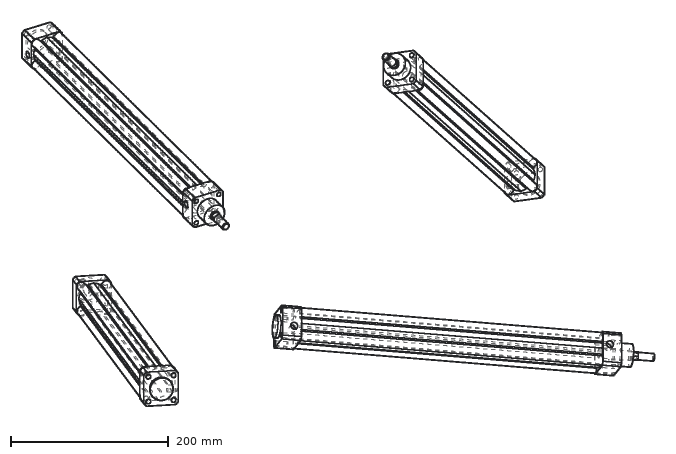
import cadquery as cq
import math

OVERALL_LENGTH = 496.0

CAP_WIDTH = 45.0
CAP_CORNER_RADIUS = 29.5
REAR_CAP_LENGTH = 25.0
FRONT_CAP_LENGTH = 24.5
BOSS_RADIUS = 15.0
REAR_BOSS_LENGTH = 4.0
FRONT_BOSS_LENGTH = 18.0

SCREW_SPACING = 32.5
SCREW_HOLE_RADIUS = 3.0
SCREW_HOLE_DEPTH = 16.0

PORT_RADIUS = 4.5
PORT_DEPTH = 12.0
PORT_FROM_OUTER_FACE = 15.5
PORT_AXIS_OFFSET = 5.0

LOBE_RADIUS = 5.5
VALLEY_HEIGHT = 17.5
VALLEY_HALF_WIDTH = 7.5
RIDGE_HALF_WIDTH = 4.0
RIDGE_SLOPE = 13
SHOULDER_SLOPE = 21
SHOULDER_BULGE = 0.075

ROD_RADIUS = 6.0
NECK_RADIUS = 5.5
NECK_LENGTH = 6.0
NECK_CHAMFER_LENGTH = 1.0
FLATS_WIDTH = 10.0
THREAD_RADIUS = 5.0
THREAD_LENGTH = 20.5
THREAD_CHAMFER = 1.0
SHOULDER_LENGTH = 1.5
ROD_BEYOND_BOSS = 1.5

BARREL_START = REAR_BOSS_LENGTH + REAR_CAP_LENGTH
THREAD_START = OVERALL_LENGTH - THREAD_LENGTH
NECK_END = THREAD_START - SHOULDER_LENGTH
NECK_START = NECK_END - NECK_LENGTH
ROD_FULL_END = NECK_START - NECK_CHAMFER_LENGTH
FRONT_BOSS_END = ROD_FULL_END - ROD_BEYOND_BOSS
FRONT_CAP_END = FRONT_BOSS_END - FRONT_BOSS_LENGTH
BARREL_END = FRONT_CAP_END - FRONT_CAP_LENGTH

LOBE_CENTRE = SCREW_SPACING / 2


def section(x):
    """Workplane across the cylinder at X = x, with local axes Y and Z."""
    return cq.Workplane("YZ", origin=(x, 0, 0))


def screw_holes(start, length):
    return (
        section(start)
        .rect(SCREW_SPACING, SCREW_SPACING, forConstruction=True)
        .vertices()
        .circle(SCREW_HOLE_RADIUS)
        .extrude(length)
    )


def port(x, z):
    face_y = -CAP_WIDTH / 2
    return cq.Workplane("XZ", origin=(x, face_y, z)).circle(PORT_RADIUS).extrude(-PORT_DEPTH)


def cap_block(start, length):
    square = section(start).rect(CAP_WIDTH, CAP_WIDTH).extrude(length)
    turned = section(start).circle(CAP_CORNER_RADIUS).extrude(length)
    return square.intersect(turned)


def make_rear_cap():
    boss = section(0).circle(BOSS_RADIUS).extrude(REAR_BOSS_LENGTH)
    return (
        cap_block(REAR_BOSS_LENGTH, REAR_CAP_LENGTH)
        .union(boss)
        .cut(screw_holes(REAR_BOSS_LENGTH, SCREW_HOLE_DEPTH))
        .cut(port(REAR_BOSS_LENGTH + PORT_FROM_OUTER_FACE, -PORT_AXIS_OFFSET))
    )


def make_front_cap():
    boss = section(FRONT_CAP_END).circle(BOSS_RADIUS).extrude(FRONT_BOSS_LENGTH)
    rod_hole = section(BARREL_END).circle(ROD_RADIUS).extrude(FRONT_BOSS_END - BARREL_END)
    return (
        cap_block(BARREL_END, FRONT_CAP_LENGTH)
        .union(boss)
        .cut(rod_hole)
        .cut(screw_holes(FRONT_CAP_END, -SCREW_HOLE_DEPTH))
        .cut(port(FRONT_CAP_END - PORT_FROM_OUTER_FACE, PORT_AXIS_OFFSET))
    )


def quarter_turned(point, turns):
    """Point of the profile turned clockwise by whole quarter turns about the cylinder axis."""
    y, z = point
    for _ in range(turns):
        y, z = z, -y
    return y, z


def mirrored(point):
    y, z = point
    return -y, z


def make_barrel():
    """Extruded profile: four round corner lobes, with a ridge between two valleys on each side."""
    shoulder_rise = (VALLEY_HALF_WIDTH - RIDGE_HALF_WIDTH) * math.tan(math.radians(SHOULDER_SLOPE))
    ridge_edge = (RIDGE_HALF_WIDTH, VALLEY_HEIGHT + shoulder_rise)
    crest = (0, ridge_edge[1] + RIDGE_HALF_WIDTH * math.tan(math.radians(RIDGE_SLOPE)))
    valley_inner = (VALLEY_HALF_WIDTH, VALLEY_HEIGHT)
    tangent_offset = LOBE_RADIUS / math.sqrt(2)
    flank_top = (LOBE_CENTRE - tangent_offset, LOBE_CENTRE + tangent_offset)
    flank_foot = (flank_top[0] - (flank_top[1] - VALLEY_HEIGHT), VALLEY_HEIGHT)
    lobe_tip = (LOBE_CENTRE + tangent_offset, LOBE_CENTRE + tangent_offset)
    lobe_end = (flank_top[1], flank_top[0])

    profile = section(BARREL_START).moveTo(*mirrored(flank_top))
    for turns in range(4):
        profile = (
            profile.lineTo(*quarter_turned(mirrored(flank_foot), turns))
            .lineTo(*quarter_turned(mirrored(valley_inner), turns))
            .sagittaArc(quarter_turned(mirrored(ridge_edge), turns), SHOULDER_BULGE)
            .lineTo(*quarter_turned(crest, turns))
            .lineTo(*quarter_turned(ridge_edge, turns))
            .sagittaArc(quarter_turned(valley_inner, turns), SHOULDER_BULGE)
            .lineTo(*quarter_turned(flank_foot, turns))
            .lineTo(*quarter_turned(flank_top, turns))
            .threePointArc(quarter_turned(lobe_tip, turns), quarter_turned(lobe_end, turns))
        )
    return profile.close().extrude(BARREL_END - BARREL_START)


def make_rod():
    outline = [
        (BARREL_END, 0),
        (BARREL_END, ROD_RADIUS),
        (ROD_FULL_END, ROD_RADIUS),
        (NECK_START, NECK_RADIUS),
        (NECK_END, NECK_RADIUS),
        (THREAD_START, THREAD_RADIUS),
        (OVERALL_LENGTH - THREAD_CHAMFER, THREAD_RADIUS),
        (OVERALL_LENGTH, THREAD_RADIUS - THREAD_CHAMFER),
        (OVERALL_LENGTH, 0),
    ]
    rod = cq.Workplane("XY").polyline(outline).close().revolve(360, (0, 0, 0), (1, 0, 0))
    flats = (
        section(NECK_START)
        .rect(FLATS_WIDTH, 2 * NECK_RADIUS)
        .rect(2 * NECK_RADIUS, 2 * NECK_RADIUS)
        .extrude(NECK_LENGTH)
    )
    return rod.cut(flats)


rear_cap = make_rear_cap()
barrel = make_barrel()
front_cap = make_front_cap()
rod = make_rod()

result = cq.Compound.makeCompound([rear_cap.val(), barrel.val(), front_cap.val(), rod.val()])